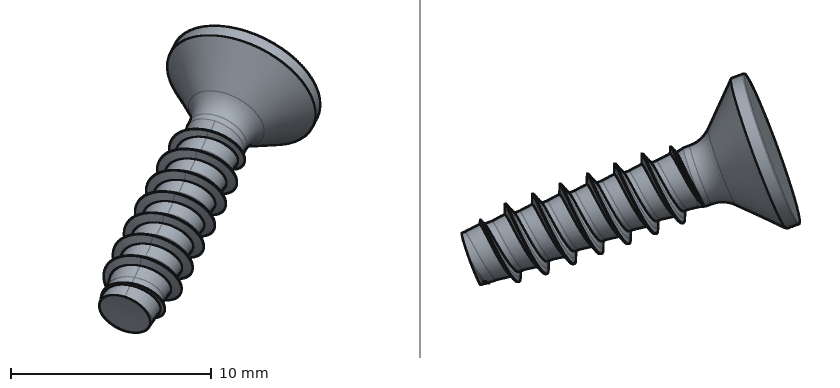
import cadquery as cq
import math

LENGTH = 16.0

HEAD_RADIUS = 4.0
HEAD_RIM_DEPTH = 0.69
HEAD_EDGE_FILLET = 0.05
HEAD_CONE_HALF_ANGLE = math.radians(45)

NECK_RADIUS = 1.57
NECK_FILLET_RADIUS = 1.6
NECK_END_DEPTH = 4.13

TAPER_END_DEPTH = 4.83
TAPER_END_RADIUS = 1.4

CORE_RADIUS = 1.42
TIP_TAPER_DEPTH = 15.36
TIP_RADIUS = 1.38
TIP_DISH_RADIUS = 1.31
TIP_DISH_DEPTH = 0.11

PITCH = 1.45
START_ANGLE = math.radians(90)
START_DEPTH = 2.13
TURNS = 11
POINTS_PER_TURN = 24

CREST_RADIUS = 2.0
CREST_HALF_WIDTH = 0.024
KINK_OFFSET = -0.13
KINK_RADIUS = 1.73
HEAD_FOOT_OFFSET = -0.25
TIP_FOOT_OFFSET = 0.2

SWELL_RADIUS = 1.52
SWELL_END_OFFSET = 0.93

START_RUNOUT = ((4.0, 0.5), (5.68, 1.0))
END_RUNOUT = ((13.8, 1.0), (15.8, 0.0))
SWELL_RUNOUT = ((14.56, 1.0), (15.8, 0.0))
LEAST_WIDTH_SHARE = 0.2


def revolve_about_axis(outline):
    """Revolve a closed outline, drawn as (Z, Y), about the screw axis."""
    return outline.close().revolve(360, (0, 0, 0), (0, 1, 0))


def make_body():
    """Head, neck and taper as one turned solid."""
    arc_turn = HEAD_CONE_HALF_ANGLE
    cone_end_radius = NECK_RADIUS + NECK_FILLET_RADIUS * (1 - math.cos(arc_turn))
    cone_end_depth = HEAD_RIM_DEPTH + (HEAD_RADIUS - cone_end_radius) / math.tan(arc_turn)
    neck_start_depth = cone_end_depth + NECK_FILLET_RADIUS * math.sin(arc_turn)
    outline = (
        cq.Workplane("ZY")
        .lineTo(HEAD_RADIUS, 0)
        .lineTo(HEAD_RADIUS, -HEAD_RIM_DEPTH)
        .lineTo(cone_end_radius, -cone_end_depth)
        .tangentArcPoint((NECK_RADIUS, -neck_start_depth), relative=False)
        .lineTo(NECK_RADIUS, -NECK_END_DEPTH)
        .lineTo(TAPER_END_RADIUS, -TAPER_END_DEPTH)
        .lineTo(0, -TAPER_END_DEPTH)
    )
    return revolve_about_axis(outline).faces(">Y").edges().fillet(HEAD_EDGE_FILLET)


def height_share(depth, runout):
    """Share of the full height at a depth, changing linearly within the runout."""
    (start_depth, start_share), (end_depth, end_share) = runout
    progress = (depth - start_depth) / (end_depth - start_depth)
    return start_share + (end_share - start_share) * min(1.0, max(0.0, progress))


def ridge_share(depth):
    """Height share of the thread ridge."""
    return height_share(depth, START_RUNOUT) * height_share(depth, END_RUNOUT)


def ridge_width_share(depth):
    """Width share of the ridge, which narrows as it sinks."""
    return max(LEAST_WIDTH_SHARE, ridge_share(depth))


def swell_share(depth):
    """Height share of the core swelling."""
    return height_share(depth, SWELL_RUNOUT)


def constant_width(depth):
    """Width share of what does not narrow."""
    return 1.0


def core_radius(depth):
    """Radius of the bare core, narrowing at the tip."""
    slope = (CORE_RADIUS - TIP_RADIUS) / (LENGTH - TIP_TAPER_DEPTH)
    return CORE_RADIUS - slope * max(0.0, depth - TIP_TAPER_DEPTH)


def helix_point(corner, turn):
    """Point where a profile corner (offset, radius, width share, height share) lies after some turns."""
    full_offset, full_radius, width_share, height_share_at = corner
    angle = START_ANGLE + 2 * math.pi * turn
    crest_depth = START_DEPTH + PITCH * turn
    depth = crest_depth + full_offset * width_share(crest_depth)
    radius = core_radius(depth) + (full_radius - CORE_RADIUS) * height_share_at(crest_depth)
    return cq.Vector(radius * math.cos(angle), -depth, radius * math.sin(angle))


def helix_edge(corner, first_turn):
    """One turn of the helical curve of a profile corner."""
    turns = [first_turn + i / POINTS_PER_TURN for i in range(POINTS_PER_TURN + 1)]
    nudge = 0.001
    tangents = [
        (helix_point(corner, turn + nudge) - helix_point(corner, turn - nudge)) / (2 * nudge)
        for turn in (turns[0], turns[-1])
    ]
    points = [helix_point(corner, turn) for turn in turns]
    return cq.Edge.makeSpline(points, tangents=tangents, parameters=turns, scale=False)


def axis_point(point):
    """Point on the screw axis at the same depth."""
    return cq.Vector(0, point.y, 0)


def make_helical_rod():
    """Solid threaded rod with helical end faces, longer than the finished thread."""
    corners = [
        (HEAD_FOOT_OFFSET, CORE_RADIUS, ridge_width_share, ridge_share),
        (KINK_OFFSET, KINK_RADIUS, ridge_width_share, ridge_share),
        (-CREST_HALF_WIDTH, CREST_RADIUS, ridge_width_share, ridge_share),
        (CREST_HALF_WIDTH, CREST_RADIUS, ridge_width_share, ridge_share),
        (TIP_FOOT_OFFSET, SWELL_RADIUS, ridge_width_share, swell_share),
        (SWELL_END_OFFSET, CORE_RADIUS, constant_width, swell_share),
    ]
    faces = []
    for turn in range(TURNS):
        edges = [helix_edge(corner, turn) for corner in corners]
        edges.append(helix_edge(corners[0], turn + 1))
        faces += [cq.Face.makeRuledSurface(one, other) for one, other in zip(edges, edges[1:])]
    for end_turn in (0, TURNS):
        edge = helix_edge(corners[0], end_turn)
        axis_edge = cq.Edge.makeLine(axis_point(edge.startPoint()), axis_point(edge.endPoint()))
        faces.append(cq.Face.makeRuledSurface(edge, axis_edge))
        section = [helix_point(corner, end_turn) for corner in corners]
        section.append(helix_point(corners[0], end_turn + 1))
        section += [axis_point(section[-1]), axis_point(section[0])]
        faces.append(cq.Face.makeFromWires(cq.Wire.makePolygon(section, close=True)))
    return cq.Workplane(cq.Solid.makeSolid(cq.Shell.makeShell(faces)).fix())


def make_thread():
    """Threaded rod trimmed flat at the neck and at the tip."""
    threaded_length = LENGTH - NECK_END_DEPTH
    zone = cq.Workplane("XZ", origin=(0, -NECK_END_DEPTH, 0)).circle(HEAD_RADIUS).extrude(threaded_length)
    return make_helical_rod().intersect(zone)


def make_tip_dish():
    """Shallow conical hollow in the end face of the tip."""
    outline = (
        cq.Workplane("ZY")
        .moveTo(0, -LENGTH)
        .lineTo(TIP_DISH_RADIUS, -LENGTH)
        .lineTo(0, TIP_DISH_DEPTH - LENGTH)
    )
    return revolve_about_axis(outline)


result = make_body().union(make_thread()).cut(make_tip_dish())